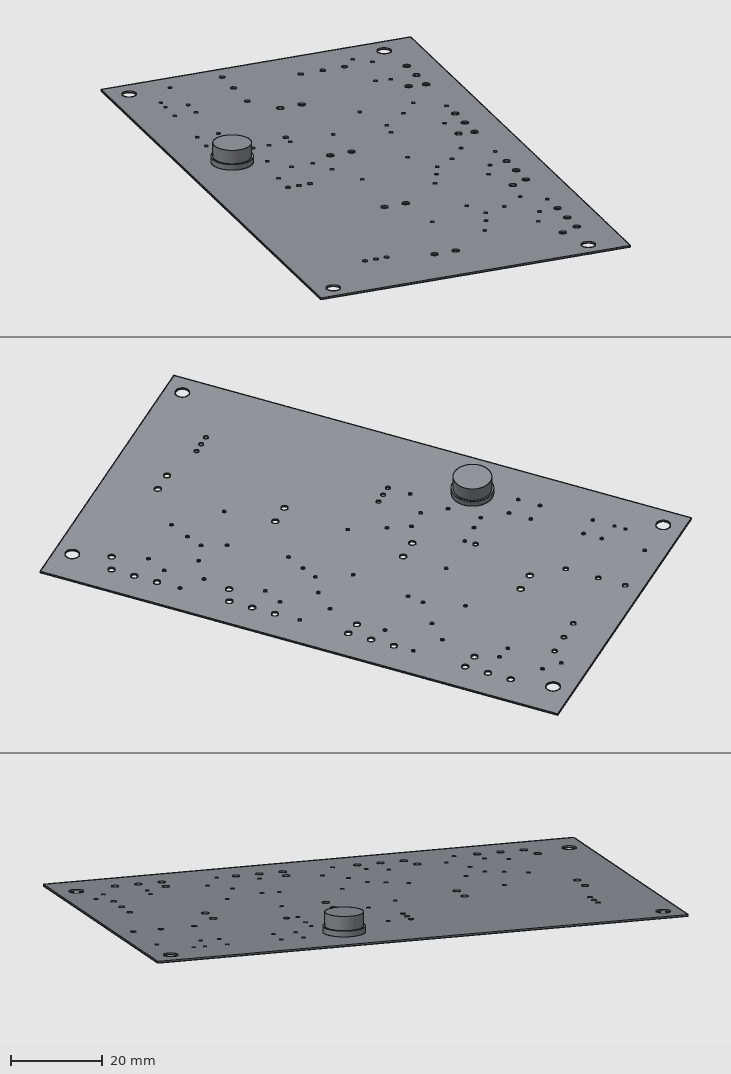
import cadquery as cq

BOARD_LENGTH = 123.2
BOARD_WIDTH = 73.4
BOARD_THICKNESS = 0.42

COMPONENT_X = -14.3
COMPONENT_Y = -25.6
FACETS = 48
BASE_DIAMETER = 9.4
CAP_DIAMETER = 8.5
TOTAL_HEIGHT = 4.9
CAP_HEIGHT = 3.2
BASE_HEIGHT = TOTAL_HEIGHT - BOARD_THICKNESS - CAP_HEIGHT

MOUNTING_DIAMETER = 3.2
MOUNTING_X = [-56.9, 57.5]
MOUNTING_Y = [-32.0, 28.5]

TERMINAL_DIAMETER = 1.6
TERMINAL_PITCH = 5.4
TERMINAL_CENTRES = [(-42.0, 29.8), (-14.0, 29.5), (14.2, 29.7), (42.1, 30.0)]

COLUMN_DIAMETER = 1.6
COLUMN_X = [-37.1, -9.1, 21.3, 49.3]
COLUMN_Y = [25.9, 0.5, -4.5]

PIN_PITCH = 2.6
WIDE_ROW_DIAMETER = 1.22
WIDE_ROW_PITCH = 2 * PIN_PITCH
WIDE_ROW_CENTRE = (-52.4, 12.0)
NARROW_ROW_DIAMETER = 1.1
NARROW_ROW_CENTRES = [(3.3, -17.2), (46.7, -17.4)]

WIRE_DIAMETER = 1.22
WIRE_Y = -9.7
WIRE_X = [-57.5, -51.1, -43.4, -21.9]

LEAD_DIAMETER = 0.81

LONG_SPAN = 12.7
LONG_PAIRS_ALONG_Y = [
    (-28.3, 10.6), (-1.6, 10.6), (13.8, 10.6), (41.6, 10.6), (-15.5, 12.6), (9.4, 12.8),
    (27.7, 12.2), (36.8, 12.9), (-19.3, 0.5), (32.9, 1.8), (-2.0, -19.8),
]
LONG_PAIRS_ALONG_X = [(-55.3, 20.3), (-19.3, -9.7), (-19.3, -14.8)]

MEDIUM_SPAN = 10.2
MEDIUM_PAIRS_ALONG_Y = [(-24.0, 19.1), (3.0, 19.2), (31.3, 19.6)]
MEDIUM_PAIRS_ALONG_X = [(-52.4, 23.8), (-56.7, -22.4)]

SHORT_SPAN = 5.0
SHORT_PAIRS_ALONG_Y = [(-42.1, -27.5), (-29.6, -27.5), (-24.4, -27.5)]

TALL_PAIR_SPAN = 17.7
TALL_PAIR_DIAMETER = 0.76
TALL_PAIR_START = (5.7, -3.2)

NARROW_PAIR_SPAN = PIN_PITCH
NARROW_PAIR_DIAMETER = 0.71
NARROW_PAIR_START = (-49.9, -27.5)

FRONT_PAIR_SPAN = 7.8
FRONT_PAIR_START = (-19.3, -18.5)


def three_along_x(centre, pitch):
    x, y = centre
    return [(x + step * pitch, y) for step in (-1, 0, 1)]


def three_along_y(centre, pitch):
    x, y = centre
    return [(x, y + step * pitch) for step in (-1, 0, 1)]


def pairs_along_x(starts, span):
    return starts + [(x + span, y) for x, y in starts]


def pairs_along_y(starts, span):
    return starts + [(x, y + span) for x, y in starts]


def hole_groups():
    """Diameter and centre points of every group of through holes in the board."""
    mounting = [(x, y) for x in MOUNTING_X for y in MOUNTING_Y]
    terminals = [point for centre in TERMINAL_CENTRES for point in three_along_x(centre, TERMINAL_PITCH)]
    columns = [(x, y) for x in COLUMN_X for y in COLUMN_Y]
    narrow_rows = [point for centre in NARROW_ROW_CENTRES for point in three_along_y(centre, PIN_PITCH)]
    wires = [(x, WIRE_Y) for x in WIRE_X]
    return [
        (MOUNTING_DIAMETER, mounting),
        (TERMINAL_DIAMETER, terminals),
        (COLUMN_DIAMETER, columns),
        (WIDE_ROW_DIAMETER, three_along_y(WIDE_ROW_CENTRE, WIDE_ROW_PITCH)),
        (NARROW_ROW_DIAMETER, narrow_rows),
        (WIRE_DIAMETER, wires),
        (LEAD_DIAMETER, pairs_along_y(LONG_PAIRS_ALONG_Y, LONG_SPAN)),
        (LEAD_DIAMETER, pairs_along_x(LONG_PAIRS_ALONG_X, LONG_SPAN)),
        (LEAD_DIAMETER, pairs_along_y(MEDIUM_PAIRS_ALONG_Y, MEDIUM_SPAN)),
        (LEAD_DIAMETER, pairs_along_x(MEDIUM_PAIRS_ALONG_X, MEDIUM_SPAN)),
        (LEAD_DIAMETER, pairs_along_y(SHORT_PAIRS_ALONG_Y, SHORT_SPAN)),
        (TALL_PAIR_DIAMETER, pairs_along_y([TALL_PAIR_START], TALL_PAIR_SPAN)),
        (NARROW_PAIR_DIAMETER, pairs_along_x([NARROW_PAIR_START], NARROW_PAIR_SPAN)),
        (LEAD_DIAMETER, pairs_along_x([FRONT_PAIR_START], FRONT_PAIR_SPAN)),
    ]


def make_board():
    """Flat rectangular board standing on Z = 0, with all its through holes."""
    board = cq.Workplane("XY").rect(BOARD_LENGTH, BOARD_WIDTH).extrude(BOARD_THICKNESS)
    for diameter, centres in hole_groups():
        drills = cq.Workplane("XY").pushPoints(centres).circle(diameter / 2).extrude(BOARD_THICKNESS)
        board = board.cut(drills)
    return board


def make_faceted_disc(diameter, bottom, height):
    """Upright prism with FACETS sides, on the axis of the round component."""
    return (
        cq.Workplane("XY", origin=(COMPONENT_X, COMPONENT_Y, bottom))
        .polygon(FACETS, diameter)
        .extrude(height)
    )


board = make_board()
base = make_faceted_disc(BASE_DIAMETER, BOARD_THICKNESS, BASE_HEIGHT)
cap = make_faceted_disc(CAP_DIAMETER, BOARD_THICKNESS + BASE_HEIGHT, CAP_HEIGHT)

result = cq.Compound.makeCompound([board.val(), base.val(), cap.val()])